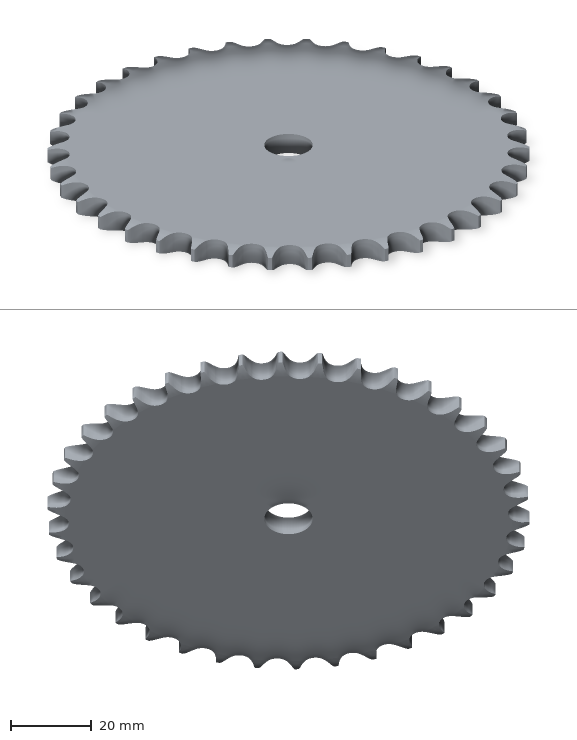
import cadquery as cq
import math

tooth_count = 38
chain_pitch = 9.525
roller_diameter = 6.35
tip_diameter = 119.5
thickness = 5.3
bore_diameter = 12.0

side_start_radius = 55.4
tip_thickness = 3.4

seat_clearance = 0.038
seat_radius = 0.5025 * roller_diameter + seat_clearance
seat_angle = math.radians(35 + 60 / tooth_count)
working_angle = math.radians(18 - 56 / tooth_count)
working_center_distance = 0.8 * roller_diameter
working_radius = working_center_distance + seat_radius
topping_angle = math.radians(17 - 64 / tooth_count)
topping_center_distance = 1.4 * roller_diameter
topping_radius = (
    working_center_distance * math.cos(working_angle)
    + topping_center_distance * math.cos(topping_angle)
    - working_radius
)

half_pitch_angle = math.pi / tooth_count
pitch_radius = chain_pitch / (2 * math.sin(half_pitch_angle))
tip_radius = tip_diameter / 2


def polar(radius, angle):
    return (radius * math.cos(angle), radius * math.sin(angle))


def offset(point, distance, angle):
    dx, dy = polar(distance, angle)
    return (point[0] + dx, point[1] + dy)


def direction(start, end):
    return math.atan2(end[1] - start[1], end[0] - start[0])


def rotate(point, angle):
    """Point turned about the Z axis."""
    return polar(math.hypot(*point), math.atan2(point[1], point[0]) + angle)


def mirror(point):
    """Point reflected across the X axis."""
    return (point[0], -point[1])


def tip_crossing(arc_center, arc_radius):
    """Point on the near (gap) side where a tooth's topping arc meets the tip circle."""
    center_distance = math.hypot(*arc_center)
    cosine = (center_distance**2 + tip_radius**2 - arc_radius**2) / (2 * center_distance * tip_radius)
    center_angle = math.atan2(arc_center[1], arc_center[0])
    return polar(tip_radius, center_angle - math.acos(cosine))


def make_blank():
    """Bored disc whose two faces curve tangentially down to a thinner rim."""
    bore_radius = bore_diameter / 2
    half_thickness = thickness / 2
    half_tip = tip_thickness / 2
    side_length = tip_radius - side_start_radius
    side_drop = half_thickness - half_tip
    side_arc_radius = (side_length**2 + side_drop**2) / (2 * side_drop)
    mid_angle = math.asin(side_length / side_arc_radius) / 2
    mid_radius = side_start_radius + side_arc_radius * math.sin(mid_angle)
    mid_height = half_thickness - side_arc_radius * (1 - math.cos(mid_angle))
    return (
        cq.Workplane("XZ")
        .moveTo(bore_radius, -half_thickness)
        .lineTo(side_start_radius, -half_thickness)
        .threePointArc((mid_radius, -mid_height), (tip_radius, -half_tip))
        .lineTo(tip_radius, half_tip)
        .threePointArc((mid_radius, mid_height), (side_start_radius, half_thickness))
        .lineTo(bore_radius, half_thickness)
        .close()
        .revolve(360, (0, 0, 0), (0, 1, 0))
    )


def make_toothed_prism():
    """Straight toothed prism, taller than the blank, with one tooth centred on +X."""
    seat_center = (pitch_radius, 0)
    sideways = math.pi / 2
    seat_end_direction = sideways + seat_angle
    seat_bottom = offset(seat_center, seat_radius, math.pi)
    seat_end = offset(seat_center, seat_radius, seat_end_direction)

    working_center = offset(seat_center, -working_center_distance, seat_end_direction)
    working_mid = offset(working_center, working_radius, seat_end_direction - working_angle / 2)
    flat_normal = seat_end_direction - working_angle
    working_end = offset(working_center, working_radius, flat_normal)

    topping_center = offset(seat_center, topping_center_distance, sideways + half_pitch_angle)
    topping_start = offset(topping_center, -topping_radius, flat_normal)
    topping_end = tip_crossing(topping_center, topping_radius)
    topping_end_normal = direction(topping_end, topping_center)
    topping_mid = offset(topping_center, -topping_radius, (flat_normal + topping_end_normal) / 2)

    tip_mid = polar(tip_radius, half_pitch_angle)

    profile = cq.Workplane("XY").workplane(offset=-thickness)
    profile = profile.moveTo(*rotate(mirror(topping_end), half_pitch_angle))
    for index in range(tooth_count):
        gap_angle = (2 * index + 1) * half_pitch_angle
        next_gap_angle = gap_angle + 2 * half_pitch_angle
        profile = (
            profile
            .threePointArc(rotate(mirror(topping_mid), gap_angle), rotate(mirror(topping_start), gap_angle))
            .lineTo(*rotate(mirror(working_end), gap_angle))
            .threePointArc(rotate(mirror(working_mid), gap_angle), rotate(mirror(seat_end), gap_angle))
            .threePointArc(rotate(seat_bottom, gap_angle), rotate(seat_end, gap_angle))
            .threePointArc(rotate(working_mid, gap_angle), rotate(working_end, gap_angle))
            .lineTo(*rotate(topping_start, gap_angle))
            .threePointArc(rotate(topping_mid, gap_angle), rotate(topping_end, gap_angle))
            .threePointArc(rotate(tip_mid, gap_angle), rotate(mirror(topping_end), next_gap_angle))
        )
    return profile.close().extrude(2 * thickness)


result = make_blank().intersect(make_toothed_prism())